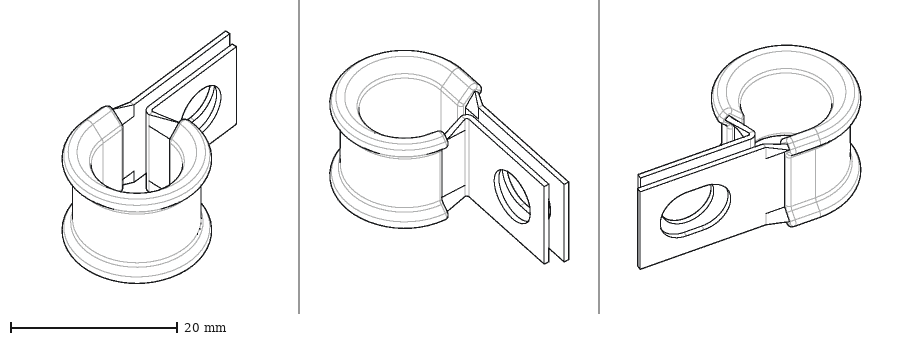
import cadquery as cq
import math


BORE_RADIUS = 5.5
GROOVE_RADIUS = 7.75
RIM_RADIUS = 9.015
RING_HEIGHT = 14.37
CUSHION_ROUND = 0.75
END_ROUND = 0.5
STRAIGHT_LENGTH = 3.82
RING_SWEEP = 270

SHEET = 0.7
STRAP_RADIUS = 7.0
TAB_WIDTH = 12.8
LONG_TAB_END = 23.395
SHORT_TAB_END = 22.25
SHORT_TAB_X = -4.86
BEND_INSIDE_RADIUS = 0.35

WING_ROOT_Z = 4.53
LONG_WING_START = 6.37

HOLE_DIAMETER = 7.15
HOLE_Y = 15.9
SLOT_LENGTH = 9.55

STRAP_INSIDE = STRAP_RADIUS - SHEET
BEND_OUTSIDE_RADIUS = BEND_INSIDE_RADIUS + SHEET
SHORT_WING_START = SHORT_TAB_X + BEND_OUTSIDE_RADIUS

WALL = GROOVE_RADIUS - BORE_RADIUS
CORNER_OVERSHOOT = CUSHION_ROUND * (math.sqrt(2) - 1)
TIP_STEP = WALL / math.sqrt(2)
TIP_OUTER_R = RIM_RADIUS + CORNER_OVERSHOOT
TIP_INNER_R = TIP_OUTER_R - TIP_STEP
TIP_INNER_Z = RING_HEIGHT / 2 + CORNER_OVERSHOOT
TIP_OUTER_Z = TIP_INNER_Z - TIP_STEP
BORE_BEND_Z = TIP_INNER_Z - (TIP_INNER_R - BORE_RADIUS)
GROOVE_BEND_Z = TIP_OUTER_Z - (TIP_OUTER_R - GROOVE_RADIUS)

CENTRE_INSET = CUSHION_ROUND * math.sqrt(2)
FLARE_OUTER = (TIP_OUTER_R - CENTRE_INSET, TIP_OUTER_Z)
FLARE_INNER = (TIP_INNER_R, TIP_INNER_Z - CENTRE_INSET)


def ring_section():
    """Ring cross-section on the -X side of the XZ plane."""
    upper = [
        (-BORE_RADIUS, BORE_BEND_Z),
        (-TIP_INNER_R, TIP_INNER_Z),
        (-TIP_OUTER_R, TIP_OUTER_Z),
        (-GROOVE_RADIUS, GROOVE_BEND_Z),
    ]
    lower = [(x, -z) for x, z in reversed(upper)]
    outline = upper + lower + upper[:1]
    sketch = cq.Sketch().polygon(outline).vertices().fillet(CUSHION_ROUND)
    return cq.Workplane("XZ").placeSketch(sketch)


def cushioned_ring():
    """Three-quarter ring continued by a short straight run, with rounded ends."""
    arc = ring_section().revolve(RING_SWEEP, (0, 0, 0), (0, 1, 0))
    arc_end = cq.NearestToPointSelector((0, (BORE_RADIUS + GROOVE_RADIUS) / 2, 0))
    arc = arc.faces(arc_end).edges().fillet(END_ROUND)
    straight = ring_section().extrude(-STRAIGHT_LENGTH)
    straight = straight.faces(">Y").edges().fillet(END_ROUND)
    return arc.union(straight)


def slab(x_min, x_max, y_min, y_max, width):
    """Rectangular plate centred on Z = 0."""
    size_x = x_max - x_min
    size_y = y_max - y_min
    centre = (x_min + size_x / 2, y_min + size_y / 2, 0)
    return cq.Workplane().box(size_x, size_y, width).translate(centre)


def wing(flat_y, flared_y):
    """Upper strap edge twisting from flat (at flat_y) to flared (at flared_y), on the -X side."""
    flat = [
        (-STRAP_RADIUS, WING_ROOT_Z),
        (-STRAP_RADIUS, TAB_WIDTH / 2),
        (-STRAP_INSIDE, TAB_WIDTH / 2),
        (-STRAP_INSIDE, WING_ROOT_Z),
    ]
    flared = [
        (-STRAP_RADIUS, WING_ROOT_Z),
        (-FLARE_OUTER[0], FLARE_OUTER[1]),
        (-FLARE_INNER[0], FLARE_INNER[1]),
        (-STRAP_INSIDE, WING_ROOT_Z),
    ]
    return (
        cq.Workplane("XZ", origin=(0, flat_y, 0))
        .polyline(flat).close()
        .workplane(offset=flat_y - flared_y)
        .polyline(flared).close()
        .loft(ruled=True)
    )


def wing_pair(flat_y, flared_y):
    """Wings at the upper and lower strap edges."""
    upper = wing(flat_y, flared_y)
    return upper.union(upper.mirror("XY"))


def long_tab():
    """Straight tab leaving the ring on the -X side, with a slotted bolt hole."""
    tab = slab(-STRAP_RADIUS, -STRAP_INSIDE, LONG_WING_START, LONG_TAB_END, TAB_WIDTH)
    neck = slab(-STRAP_RADIUS, -STRAP_INSIDE, STRAIGHT_LENGTH, LONG_WING_START, 2 * WING_ROOT_Z)
    slot = (
        cq.Workplane("YZ", origin=(-STRAP_RADIUS, HOLE_Y, 0))
        .slot2D(SLOT_LENGTH, HOLE_DIAMETER)
        .extrude(SHEET)
    )
    wings = wing_pair(LONG_WING_START, STRAIGHT_LENGTH)
    return tab.cut(slot).union(neck).union(wings)


def short_tab():
    """Tab bent 90 degrees from the strap at the ring's open end, with a round bolt hole."""
    bend_y = STRAP_INSIDE + BEND_OUTSIDE_RADIUS
    diagonal = math.sqrt(0.5)
    inner_x = SHORT_TAB_X + SHEET
    outside_offset = BEND_OUTSIDE_RADIUS * diagonal
    inside_offset = BEND_INSIDE_RADIUS * diagonal
    outside_mid = (SHORT_WING_START - outside_offset, bend_y - outside_offset)
    inside_mid = (SHORT_WING_START - inside_offset, bend_y - inside_offset)
    tab = (
        cq.Workplane("XY", origin=(0, 0, -TAB_WIDTH / 2))
        .moveTo(SHORT_TAB_X, SHORT_TAB_END)
        .lineTo(SHORT_TAB_X, bend_y)
        .threePointArc(outside_mid, (SHORT_WING_START, STRAP_INSIDE))
        .lineTo(SHORT_WING_START, STRAP_RADIUS)
        .threePointArc(inside_mid, (inner_x, bend_y))
        .lineTo(inner_x, SHORT_TAB_END)
        .close()
        .extrude(TAB_WIDTH)
    )
    hole = (
        cq.Workplane("YZ", origin=(SHORT_TAB_X, HOLE_Y, 0))
        .circle(HOLE_DIAMETER / 2)
        .extrude(SHEET)
    )
    neck = slab(SHORT_WING_START, 0, STRAP_INSIDE, STRAP_RADIUS, 2 * WING_ROOT_Z)
    wings = wing_pair(-SHORT_WING_START, 0).rotate((0, 0, 0), (0, 0, 1), -90)
    wings = wings.mirror("YZ")
    return tab.cut(hole).union(neck).union(wings)


result = cushioned_ring().union(long_tab()).union(short_tab())